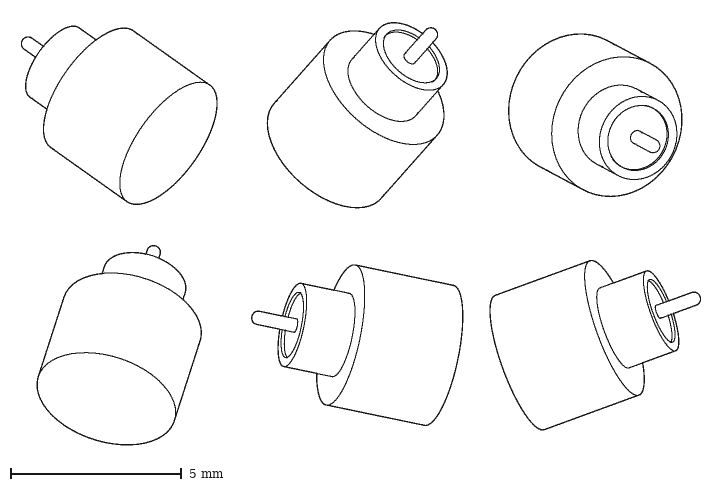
import cadquery as cq

total_length = 5.81
body_diameter = 4.2
body_length = 3.055
collar_diameter = 2.5
collar_length = 1.505
recess_diameter = 1.95
recess_depth = 0.1
pin_diameter = 0.4
pin_tip_rounding = 0.185

back_x = total_length / 2
body_front_x = back_x - body_length
collar_front_x = body_front_x - collar_length
recess_floor_x = collar_front_x + recess_depth
pin_tip_x = -total_length / 2


def cylinder(diameter, start_x, end_x):
    """Solid cylinder on the X axis between two stations."""
    return cq.Workplane("YZ", origin=(start_x, 0, 0)).circle(diameter / 2).extrude(end_x - start_x)


body = cylinder(body_diameter, body_front_x, back_x)
collar = cylinder(collar_diameter, collar_front_x, body_front_x)
housing = body.union(collar)

housing = housing.cut(cylinder(recess_diameter, collar_front_x, recess_floor_x))

pin = cylinder(pin_diameter, pin_tip_x, body_front_x)
pin = pin.faces("<X").edges().fillet(pin_tip_rounding)

result = housing.union(pin)